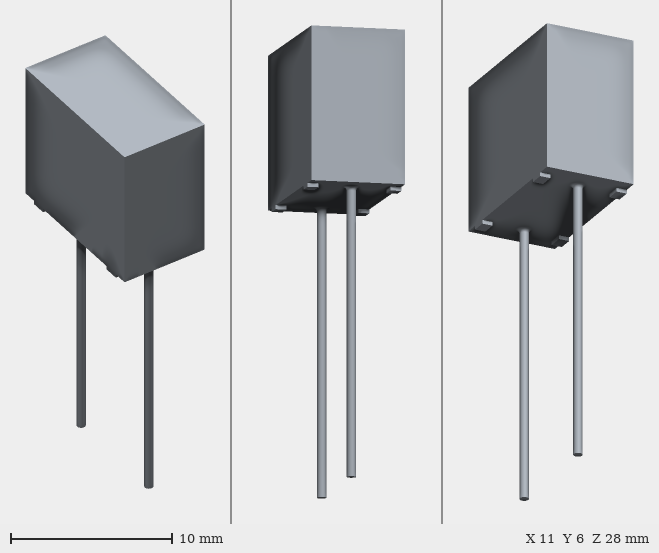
import cadquery as cq
import math

body_length = 11.0
body_width = 6.0
total_height = 28.0
seated_height = 10.0

foot_height = 0.25
foot_length = 1.0
foot_width = 0.7
foot_span = 9.07

lead_diameter = 0.6
lead_pitch = 7.5
meniscus_radius = foot_height

body_bottom = foot_height
body_top = seated_height
lead_bottom = seated_height - total_height


def make_body():
    height = body_top - body_bottom
    return (
        cq.Workplane("XY", origin=(0, 0, body_bottom))
        .box(body_length, body_width, height, centered=(True, True, False))
    )


def make_feet():
    """Four feet, flush with the front and back faces of the body."""
    x = (foot_span - foot_length) / 2
    y = (body_width - foot_width) / 2
    corners = [(side_x * x, side_y * y) for side_x in (-1, 1) for side_y in (-1, 1)]
    return (
        cq.Workplane("XY")
        .pushPoints(corners)
        .rect(foot_length, foot_width)
        .extrude(foot_height)
    )


def make_lead(x):
    """Round lead whose top flares out tangentially to meet the body."""
    radius = lead_diameter / 2
    flare_center_x = radius + meniscus_radius
    flare_center_z = body_bottom - meniscus_radius
    diagonal = meniscus_radius * math.sqrt(0.5)
    profile = (
        cq.Workplane("XZ")
        .moveTo(0, lead_bottom)
        .lineTo(radius, lead_bottom)
        .lineTo(radius, flare_center_z)
        .threePointArc(
            (flare_center_x - diagonal, flare_center_z + diagonal),
            (flare_center_x, body_bottom),
        )
        .lineTo(0, body_bottom)
        .close()
    )
    return profile.revolve(360, (0, 0, 0), (0, 1, 0)).translate((x, 0, 0))


result = make_body().union(make_feet())
for lead_x in (-lead_pitch / 2, lead_pitch / 2):
    result = result.union(make_lead(lead_x))